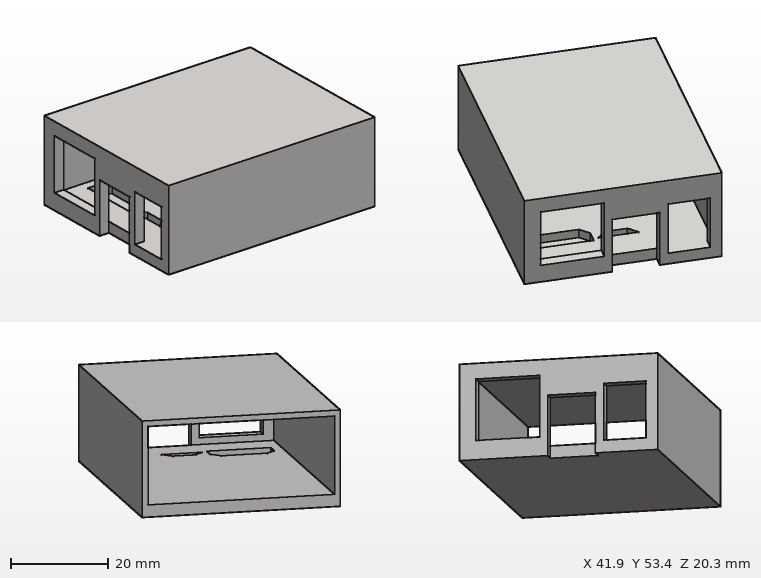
import cadquery as cq

width, length, height = 41.9, 53.35, 20.3
side_wall = 1.25
roof = 1.25
front_wall = 2.4
floor = 2.6

left_window = (3.45, 4.05, 13.5, 12.95)
middle_notch = (18.65, 0.0, 10.1, 12.75)
right_window = (30.55, floor, 8.9, 11.95)

pocket_depth = 2.0
left_pocket_x, left_pocket_y = 3.45, 8.65
left_pocket_width, left_pocket_length = 13.55, 4.8
left_pocket_chamfer = 1.9
middle_pocket_x, middle_pocket_y = 18.2, 9.35
middle_pocket_width, middle_pocket_length = 8.6, 2.0
middle_pocket_chamfer = 1.9


def corner_box(x, y, z, dx, dy, dz):
    """Box placed by its lowest corner."""
    return cq.Workplane("XY").box(dx, dy, dz, centered=False).translate((x, y, z))


def front_opening(x, z, opening_width, opening_height):
    """Rectangular opening through the front wall only."""
    return corner_box(x, 0, z, opening_width, front_wall, opening_height)


def floor_pocket(x, y, pocket_width, pocket_length, chamfer):
    """Blind floor pocket with its two rear corners cut at 45 degrees."""
    pocket = corner_box(x, y, floor - pocket_depth, pocket_width, pocket_length, pocket_depth)
    return pocket.faces(">Y").edges("|Z").chamfer(chamfer)


result = corner_box(0, 0, 0, width, length, height)
result = result.cut(
    corner_box(
        side_wall,
        front_wall,
        floor,
        width - 2 * side_wall,
        length - front_wall,
        height - floor - roof,
    )
)

for opening in (left_window, middle_notch, right_window):
    result = result.cut(front_opening(*opening))

result = result.cut(
    floor_pocket(
        left_pocket_x,
        left_pocket_y,
        left_pocket_width,
        left_pocket_length,
        left_pocket_chamfer,
    )
)
result = result.cut(
    floor_pocket(
        middle_pocket_x,
        middle_pocket_y,
        middle_pocket_width,
        middle_pocket_length,
        middle_pocket_chamfer,
    )
)